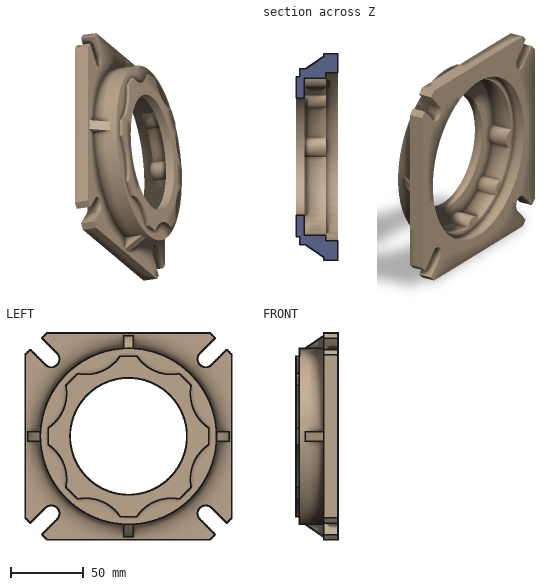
import cadquery as cq
import math

plate_size = 142.0
total_depth = 29.0
plate_thickness = 10.0
plate_front = total_depth - plate_thickness
corner_chamfer = 15.0

slot_width = 11.1
slot_circle_radius = 75.0

boss_radius = 60.5
raised_face_height = 2.4
raised_flat_distance = 55.1
raised_flat_half_width = 5.7
scallop_depth_radius = 48.3
lobe_count = 8
lobe_angle = 360.0 / lobe_count

bore_radius = 40.0
lip_depth = 6.0
cavity_radius = 54.0
cavity_depth = 20.6
recess_radius = 57.5

post_radius = 7.0
diagonal_post_circle_radius = 57.4
side_post_circle_radius = 55.5
side_post_turn = 38.0
post_diagonals = (-45.0, 135.0)

rib_width = 6.5
rib_start = 6.5
rib_reach = 69.0
rib_overlap = 1.4


def disc(radius, x_start, x_end):
    """Solid cylinder about the X axis."""
    return cq.Workplane("YZ").workplane(offset=x_start).circle(radius).extrude(x_end - x_start)


def polar(radius, angle):
    """Point in the YZ plane at an angle measured from +Y toward +Z."""
    turn = math.radians(angle)
    return (radius * math.cos(turn), radius * math.sin(turn))


def make_plate():
    """Square plate with chamfered corners and a diagonal open slot at each corner."""
    plate = (
        cq.Workplane("YZ")
        .workplane(offset=plate_front)
        .rect(plate_size, plate_size)
        .extrude(plate_thickness)
        .edges("|X")
        .chamfer(corner_chamfer)
    )
    slot_run = plate_size / 2
    slot = (
        cq.Workplane("YZ")
        .workplane(offset=plate_front)
        .center(slot_circle_radius + slot_run / 2, 0)
        .slot2D(slot_run + slot_width, slot_width)
        .extrude(plate_thickness)
    )
    for corner in range(4):
        plate = plate.cut(slot.rotate((0, 0, 0), (1, 0, 0), 45 + 90 * corner))
    return plate


def make_raised_face():
    """Thin pad with flats on every lobe and concave scallops between them."""
    corner_radius = math.hypot(raised_flat_distance, raised_flat_half_width)
    corner_angle = math.degrees(math.atan2(raised_flat_half_width, raised_flat_distance))
    outline = cq.Workplane("YZ").moveTo(*polar(corner_radius, -corner_angle))
    for lobe in range(lobe_count):
        angle = lobe * lobe_angle
        outline = outline.lineTo(*polar(corner_radius, angle + corner_angle))
        outline = outline.threePointArc(
            polar(scallop_depth_radius, angle + lobe_angle / 2),
            polar(corner_radius, angle + lobe_angle - corner_angle),
        )
    return outline.close().extrude(raised_face_height)


def make_rib():
    """Triangular rib on the +Z side, between the boss wall and the plate."""
    rib_foot = boss_radius - rib_overlap
    return (
        cq.Workplane("XZ")
        .moveTo(rib_start, rib_foot)
        .lineTo(rib_start, boss_radius)
        .lineTo(plate_front, rib_reach)
        .lineTo(plate_front, rib_foot)
        .close()
        .extrude(rib_width / 2, both=True)
    )


def make_post(circle_radius, angle):
    """Round post behind the lip, trimmed to stay inside the boss."""
    y, z = polar(circle_radius, angle)
    post = disc(post_radius, lip_depth, cavity_depth).translate((0, y, z))
    return post.intersect(disc(boss_radius, lip_depth, cavity_depth))


body = make_plate()
body = body.union(disc(boss_radius, raised_face_height, plate_front))
body = body.union(make_raised_face())
for side in range(4):
    body = body.union(make_rib().rotate((0, 0, 0), (1, 0, 0), 90 * side))

body = body.cut(disc(bore_radius, 0, lip_depth))
body = body.cut(disc(cavity_radius, lip_depth, cavity_depth))
body = body.cut(disc(recess_radius, cavity_depth, total_depth))

for diagonal in post_diagonals:
    body = body.union(make_post(diagonal_post_circle_radius, diagonal))
    for turn in (-side_post_turn, side_post_turn):
        body = body.union(make_post(side_post_circle_radius, diagonal + turn))

result = body